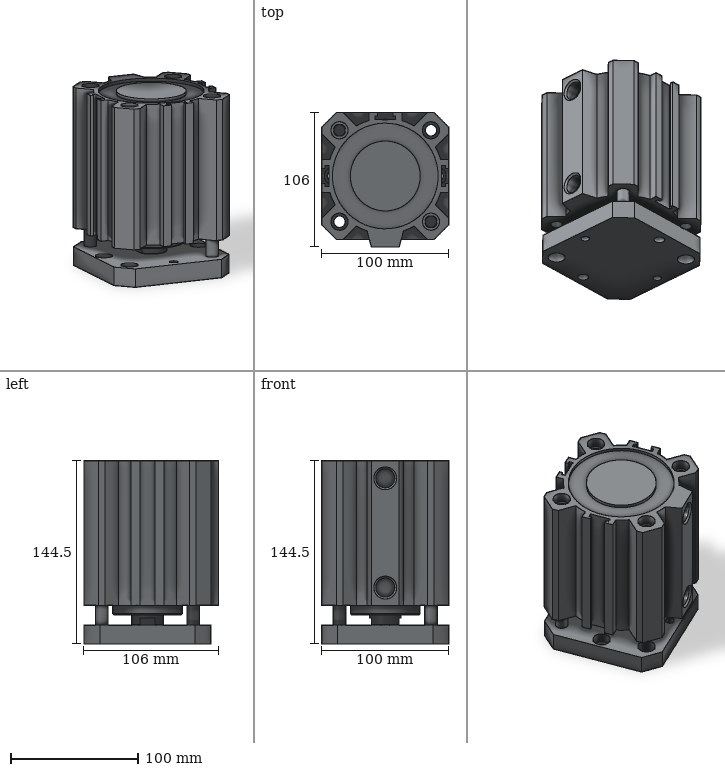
import cadquery as cq


width = 100.0
half_width = width / 2
plate_thickness = 15.0
gap = 15.5
housing_length = 114.0
housing_bottom = plate_thickness + gap
housing_top = housing_bottom + housing_length

barrel_radius = 45.5
housing_corner_chamfer = 11.6
lug_width = 23.7
rib_width = 26.0
rib_angles = (0, 90, 180)

slot_mouth_width = 12.0
slot_inner_width = 16.4
slot_lip = 2.6
slot_depth = 5.6

block_front = 56.0
block_front_width = 22.0
block_root = 43.2
block_root_width = 28.6
port_diameter = 14.95
port_depth = 12.0
port_chamfer = 1.5
port_end_distance = 14.0

cap_recess_diameter = 83.2
cap_recess_depth = 2.5
boss_diameter = 55.0
boss_height = 7.5
boss_chamfer = 1.0

corner_position = 36.0
bolt_hole_diameter = 9.0
counterbore_diameter = 13.5
counterbore_depth = 8.4

plate_corner_chamfer = 12.5
plate_hole_position = 41.25
plate_hole_diameter = 8.5
dowel_hole_diameter = 6.65
rod_diameter = 25.0
rod_flat_width = 22.0
rod_flat_height = 5.5
rod_end_chamfer = 0.5
pin_diameter = 10.0
guide_depth = 20.0

corners = [(x * corner_position, y * corner_position) for x in (-1, 1) for y in (-1, 1)]
pin_corners = [(x, y) for x, y in corners if x * y < 0]
access_corners = [(x, y) for x, y in corners if x * y > 0]


def cylinders(points, diameter, bottom, top):
    """Upright cylinders of one diameter at the given points, from Z = bottom to Z = top."""
    base = cq.Workplane("XY", origin=(0, 0, bottom))
    return base.pushPoints(points).circle(diameter / 2).extrude(top - bottom)


def chamfered_square(chamfer, bottom, height):
    """Square block of the full width with its four upright edges chamfered."""
    block = cq.Workplane("XY", origin=(0, 0, bottom)).rect(width, width).extrude(height)
    return block.edges("|Z").chamfer(chamfer)


def corner_lugs():
    """Two crossed diagonal bars trimmed to the chamfered square."""
    bars = (
        cq.Workplane("XY", origin=(0, 0, housing_bottom))
        .transformed(rotate=(0, 0, 45))
        .rect(2 * width, lug_width)
        .extrude(housing_length)
    )
    bars = bars.union(bars.rotate((0, 0, 0), (0, 0, 1), 90))
    return bars.intersect(chamfered_square(housing_corner_chamfer, housing_bottom, housing_length))


def side_bar(inner, outer, bar_width, angle):
    """Full-length bar spanning two distances from the axis, turned to one side."""
    bar = (
        cq.Workplane("XY", origin=(0, 0, housing_bottom))
        .center((inner + outer) / 2, 0)
        .rect(outer - inner, bar_width)
        .extrude(housing_length)
    )
    return bar.rotate((0, 0, 0), (0, 0, 1), angle)


def port_block():
    """Tapered block that carries the two ports."""
    return (
        cq.Workplane("XY", origin=(0, 0, housing_bottom))
        .polyline([
            (0, 0),
            (-block_root_width / 2, -block_root),
            (-block_front_width / 2, -block_front),
            (block_front_width / 2, -block_front),
            (block_root_width / 2, -block_root),
        ])
        .close()
        .extrude(housing_length)
    )


def port(height):
    """Blind port with a chamfered mouth, as a cutter revolved about its own axis."""
    radius = port_diameter / 2
    return (
        cq.Workplane("XY", origin=(0, -block_front, height))
        .polyline([
            (0, 0),
            (radius + port_chamfer, 0),
            (radius, port_chamfer),
            (radius, port_depth),
            (0, port_depth),
        ])
        .close()
        .revolve(360, (0, 0, 0), (0, 1, 0))
    )


def make_housing():
    axis = [(0, 0)]
    body = cylinders(axis, 2 * barrel_radius, housing_bottom, housing_top)
    body = body.union(corner_lugs()).union(port_block())

    for angle in rib_angles:
        body = body.union(side_bar(0, half_width, rib_width, angle))
    for angle in rib_angles:
        body = body.cut(side_bar(half_width - slot_depth, half_width, slot_mouth_width, angle))
        body = body.cut(side_bar(half_width - slot_depth, half_width - slot_lip, slot_inner_width, angle))

    for height in (housing_bottom + port_end_distance, housing_top - port_end_distance):
        body = body.cut(port(height))

    recess_floor = housing_top - cap_recess_depth
    ring = cylinders(axis, cap_recess_diameter, recess_floor, housing_top)
    body = body.cut(ring.cut(cylinders(axis, boss_diameter, recess_floor, housing_top)))

    boss = cylinders(axis, boss_diameter, housing_bottom - boss_height, housing_bottom)
    body = body.union(boss.faces("<Z").edges().chamfer(boss_chamfer))

    body = body.cut(cylinders(corners, bolt_hole_diameter, housing_bottom, housing_top))
    body = body.cut(cylinders(corners, counterbore_diameter, housing_top - counterbore_depth, housing_top))

    guide_top = housing_bottom + guide_depth
    body = body.cut(cylinders(pin_corners, pin_diameter, housing_bottom, guide_top))
    return body.cut(cylinders(axis, rod_diameter, housing_bottom - boss_height, guide_top))


def make_rod():
    """Piston rod with two wrench flats facing X and a chamfered end at the plate."""
    rod = cylinders([(0, 0)], rod_diameter, plate_thickness, housing_bottom + guide_depth)
    flat_blank = (
        cq.Workplane("XY", origin=(0, 0, plate_thickness))
        .rect(rod_diameter, rod_diameter)
        .rect(rod_flat_width, rod_diameter)
        .extrude(rod_flat_height)
    )
    return rod.faces("<Z").edges().chamfer(rod_end_chamfer).cut(flat_blank)


def make_carriage():
    plate = chamfered_square(plate_corner_chamfer, 0, plate_thickness)
    plate = plate.cut(cylinders(access_corners, counterbore_diameter, 0, plate_thickness))

    screw_points = [(-plate_hole_position, 0), (plate_hole_position, 0)]
    counterbore_floor = plate_thickness - counterbore_depth
    plate = plate.cut(cylinders(screw_points, plate_hole_diameter, 0, plate_thickness))
    plate = plate.cut(cylinders(screw_points, counterbore_diameter, counterbore_floor, plate_thickness))

    dowel_points = [(0, -plate_hole_position), (0, plate_hole_position)]
    plate = plate.cut(cylinders(dowel_points, dowel_hole_diameter, 0, plate_thickness))

    pins = cylinders(pin_corners, pin_diameter, plate_thickness, housing_bottom + guide_depth)
    return plate.union(make_rod()).union(pins)


housing = make_housing()
carriage = make_carriage()
result = cq.Compound.makeCompound([housing.val(), carriage.val()])